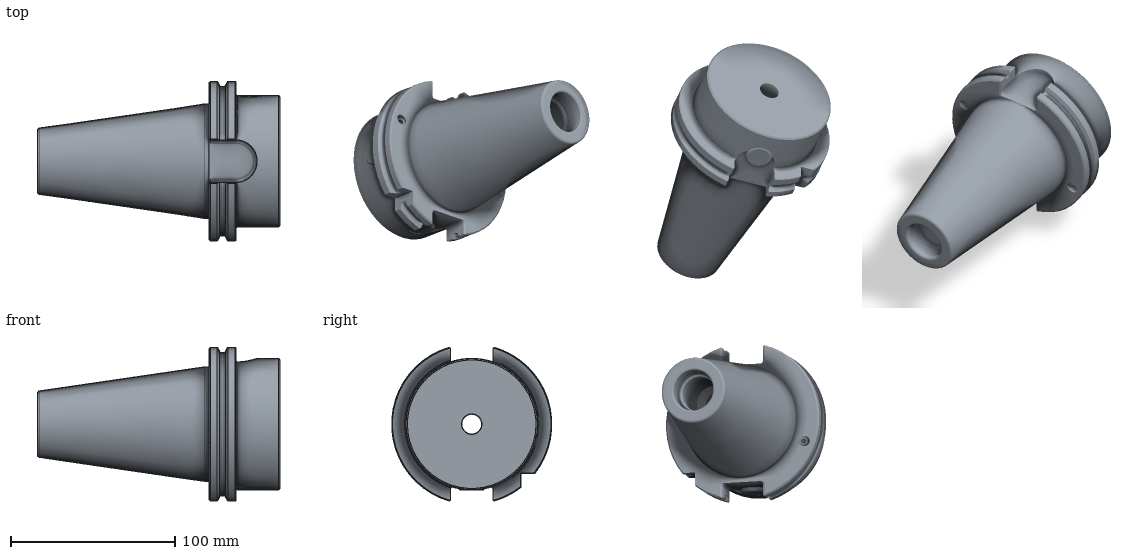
import cadquery as cq
import math

total_length = 147.6
taper_half_slope = 7 / 48
gauge_x = 101.5
gauge_radius = 34.8
small_end_round = 1.5

flange_front_x = 104.5
flange_rear_x = 120.7
flange_radius = 48.7
flange_front_bevel = 0.9
flange_rear_bevel = 0.5
neck_fillet = 0.5
collar_radius = 40.0
collar_fillet = 0.9
collar_bevel = 0.9

groove_x = 112.6
groove_lip_half_width = 3.2
groove_floor_half_width = 0.9
groove_depth = 3.2
groove_wall_depth = 3.0
groove_flank_depth = 2.4
groove_flank_angle = 30.0

slot_width = 25.8
slot_floor_heights = {1: 35.3, -1: 37.6}
slot_floor_fillet = 2.0
slot_front_bevel_width = 1.2
slot_front_bevel_depth = 0.7
slot_rim_bevel = 0.7
orientation_notch_offset = 30.0

mouth_round = 1.2
counterbore_radius = 12.5
counterbore_depth = 9.9
step_radius = 12.4
step_length = 2.0
thread_bore_radius = 10.8
thread_bore_end_x = 44.3
countersink_half_angle = 50.0
drill_tip_half_angle = 59.0
through_radius = 6.0

coolant_pitch_radius = 41.9
coolant_angles = (20.0, 200.0)
coolant_tilt = 30.0
screw_radius = 3.1
screw_recess = 2.7
screw_length = 5.9
screw_rim_bevel = 0.5
socket_across_flats = 3.0
socket_depth = 2.2

clamp_x = 128.7
clamp_radius = 8.0
clamp_length = 14.8
clamp_rim_bevel = 0.9
clamp_angles = (0.0, 270.0)

clearance = 3.0
selection_margin = 0.07

small_end_radius = gauge_radius - gauge_x * taper_half_slope
slot_half_width = slot_width / 2


def groove_outline():
    """Points across the V-groove, from its front lip to its rear lip."""
    wall_half_width = groove_lip_half_width - groove_flank_depth * math.tan(math.radians(groove_flank_angle))
    half = [
        (groove_lip_half_width, 0),
        (wall_half_width, groove_flank_depth),
        (wall_half_width, groove_wall_depth),
        (groove_floor_half_width, groove_depth),
    ]
    front = [(groove_x - offset, flange_radius - depth) for offset, depth in half]
    rear = [(groove_x + offset, flange_radius - depth) for offset, depth in reversed(half)]
    return front + rear


def outer_profile():
    """Half outline of the holder, closed along the axis."""
    return cq.Workplane("XZ").polyline([
        (0, 0),
        (0, small_end_radius),
        (gauge_x, gauge_radius),
        (flange_front_x, gauge_radius),
        (flange_front_x, flange_radius - flange_front_bevel),
        (flange_front_x + flange_front_bevel, flange_radius),
        *groove_outline(),
        (flange_rear_x - flange_rear_bevel, flange_radius),
        (flange_rear_x, flange_radius - flange_rear_bevel),
        (flange_rear_x, collar_radius),
        (total_length - collar_bevel, collar_radius),
        (total_length, collar_radius - collar_bevel),
        (total_length, 0),
    ]).close()


def circle_edge(x, radius):
    """Selector box that catches only the full circle at the given place."""
    reach = radius + selection_margin
    return cq.selectors.BoxSelector(
        (x - selection_margin, -reach, -reach), (x + selection_margin, reach, reach), boundingbox=True
    )


def revolve_about_x(profile):
    return profile.revolve(360, (0, 0, 0), (1, 0, 0))


def turned_body():
    body = revolve_about_x(outer_profile())
    body = body.edges(circle_edge(0, small_end_radius)).fillet(small_end_round)
    body = body.edges(circle_edge(flange_front_x, gauge_radius)).fillet(neck_fillet)
    return body.edges(circle_edge(flange_rear_x, collar_radius)).fillet(collar_fillet)


def bore_cutter():
    """Stepped bore: rounded mouth, counterbore, countersink, thread bore, drill tip, through hole."""
    step_end_x = counterbore_depth + step_length
    countersink_length = (step_radius - thread_bore_radius) / math.tan(math.radians(countersink_half_angle))
    tip_length = (thread_bore_radius - through_radius) / math.tan(math.radians(drill_tip_half_angle))
    mouth_mid = mouth_round * (1 - math.sqrt(0.5))
    return revolve_about_x(
        cq.Workplane("XZ")
        .lineTo(0, counterbore_radius + mouth_round)
        .threePointArc(
            (mouth_mid, counterbore_radius + mouth_mid),
            (mouth_round, counterbore_radius),
        )
        .lineTo(counterbore_depth, counterbore_radius)
        .lineTo(counterbore_depth, step_radius)
        .lineTo(step_end_x, step_radius)
        .lineTo(step_end_x + countersink_length, thread_bore_radius)
        .lineTo(thread_bore_end_x, thread_bore_radius)
        .lineTo(thread_bore_end_x + tip_length, through_radius)
        .lineTo(total_length, through_radius)
        .lineTo(total_length, 0)
        .close()
    )


def slot_outline(x, half_width, floor_height):
    """Closed cross-section of a drive slot in a plane across the axis, with rounded floor corners."""
    height = flange_radius + clearance - floor_height
    flat_half_width = half_width - slot_floor_fillet
    return (
        cq.Workplane("YZ", origin=(x, 0, floor_height))
        .moveTo(-half_width, height)
        .lineTo(-half_width, slot_floor_fillet)
        .radiusArc((-flat_half_width, 0), -slot_floor_fillet)
        .lineTo(flat_half_width, 0)
        .radiusArc((half_width, slot_floor_fillet), -slot_floor_fillet)
        .lineTo(half_width, height)
        .close()
        .val()
    )


def slot_channel(floor_height):
    """Straight slot with a half-round end and a filleted floor."""
    start_x = flange_front_x - clearance
    return (
        cq.Workplane("XY", origin=(0, 0, floor_height))
        .moveTo(start_x, -slot_half_width)
        .lineTo(flange_rear_x, -slot_half_width)
        .threePointArc((flange_rear_x + slot_half_width, 0), (flange_rear_x, slot_half_width))
        .lineTo(start_x, slot_half_width)
        .close()
        .extrude(flange_radius + clearance - floor_height)
        .faces("<Z")
        .edges("not(<X)")
        .fillet(slot_floor_fillet)
    )


def slot_front_bevel(floor_height):
    """Flare of the slot walls at the front face of the flange."""
    rear_x = flange_front_x + slot_front_bevel_depth
    wide = slot_outline(flange_front_x, slot_half_width + slot_front_bevel_width, floor_height)
    narrow = slot_outline(rear_x, slot_half_width, floor_height)
    return cq.Workplane(cq.Solid.makeLoft([wide, narrow], True))


def slot_rim_bevel_cutter():
    """Prism that bevels both slot edges on the outside of the flange."""
    edge_half_width = slot_half_width + slot_rim_bevel
    edge_height = math.sqrt(flange_radius**2 - edge_half_width**2)
    return (
        cq.Workplane("YZ", origin=(flange_front_x, 0, edge_height))
        .moveTo(-slot_half_width, -slot_rim_bevel)
        .lineTo(slot_half_width, -slot_rim_bevel)
        .lineTo(edge_half_width + clearance, clearance)
        .lineTo(-edge_half_width - clearance, clearance)
        .close()
        .extrude(flange_rear_x - flange_front_x)
    )


def slot_cutters(side):
    """Everything cut for one drive slot; side is 1 for the top and -1 for the bottom."""
    floor_height = slot_floor_heights[side]
    turn = 0 if side == 1 else 180
    pieces = [slot_channel(floor_height), slot_front_bevel(floor_height), slot_rim_bevel_cutter()]
    return [piece.rotate((0, 0, 0), (1, 0, 0), turn) for piece in pieces]


def orientation_notch_cutter():
    """Square corner taken out of the flange rim at +Y, -Z."""
    return (
        cq.Workplane("XY")
        .box(flange_rear_x - flange_front_x, flange_radius, flange_radius, centered=False)
        .translate((flange_front_x, orientation_notch_offset, -orientation_notch_offset - flange_radius))
    )


def coolant_plane(angle):
    """Plane at a coolant hole mouth, its normal pointing down the hole."""
    outward_y = math.cos(math.radians(angle))
    outward_z = math.sin(math.radians(angle))
    tilt = math.radians(coolant_tilt)
    return cq.Plane(
        origin=(flange_front_x, coolant_pitch_radius * outward_y, coolant_pitch_radius * outward_z),
        xDir=(0, -outward_z, outward_y),
        normal=(math.cos(tilt), -math.sin(tilt) * outward_y, -math.sin(tilt) * outward_z),
    )


def coolant_hole_cutter(angle):
    """Tilted blind hole, as deep as the seated set screw."""
    return (
        cq.Workplane(coolant_plane(angle))
        .workplane(offset=-clearance)
        .circle(screw_radius)
        .extrude(clearance + screw_recess + screw_length)
    )


def clamp_seat_plane(angle):
    """Plane at the inner end of a clamping screw, its normal pointing away from the axis."""
    outward_y = math.cos(math.radians(angle))
    outward_z = math.sin(math.radians(angle))
    seat_radius = collar_radius - clamp_length
    return cq.Plane(
        origin=(clamp_x, seat_radius * outward_y, seat_radius * outward_z),
        xDir=(1, 0, 0),
        normal=(0, outward_y, outward_z),
    )


def clamp_hole_cutter(angle):
    """Blind radial hole for a clamping screw."""
    return cq.Workplane(clamp_seat_plane(angle)).circle(clamp_radius).extrude(clamp_length + clearance)


def make_holder():
    holder = turned_body().cut(bore_cutter())
    holder = holder.cut(orientation_notch_cutter())
    for side in slot_floor_heights:
        for piece in slot_cutters(side):
            holder = holder.cut(piece)
    for angle in coolant_angles:
        holder = holder.cut(coolant_hole_cutter(angle))
    for angle in clamp_angles:
        holder = holder.cut(clamp_hole_cutter(angle))
    return holder


def outer_rim(screw, outward):
    """Edge of the end face that lies farthest along the outward direction."""
    return screw.faces(cq.selectors.DirectionMinMaxSelector(outward)).edges()


def make_set_screw(angle):
    """Set screw with a hexagon socket, seated at the bottom of a coolant hole."""
    plane = coolant_plane(angle)
    socket_across_corners = socket_across_flats / math.cos(math.pi / 6)
    head = cq.Workplane(plane).workplane(offset=screw_recess)
    screw = head.circle(screw_radius).extrude(screw_length)
    socket = head.polygon(6, socket_across_corners).extrude(socket_depth)
    return outer_rim(screw, -plane.zDir).chamfer(screw_rim_bevel).cut(socket)


def make_clamping_screw(angle):
    """Clamping screw whose flat outer end reaches the collar surface."""
    plane = clamp_seat_plane(angle)
    screw = cq.Workplane(plane).circle(clamp_radius).extrude(clamp_length)
    return outer_rim(screw, plane.zDir).chamfer(clamp_rim_bevel)


holder = make_holder()
set_screws = [make_set_screw(angle) for angle in coolant_angles]
clamping_screws = [make_clamping_screw(angle) for angle in clamp_angles]

result = cq.Compound.makeCompound([
    holder.val(),
    *[screw.val() for screw in set_screws],
    *[screw.val() for screw in clamping_screws],
])